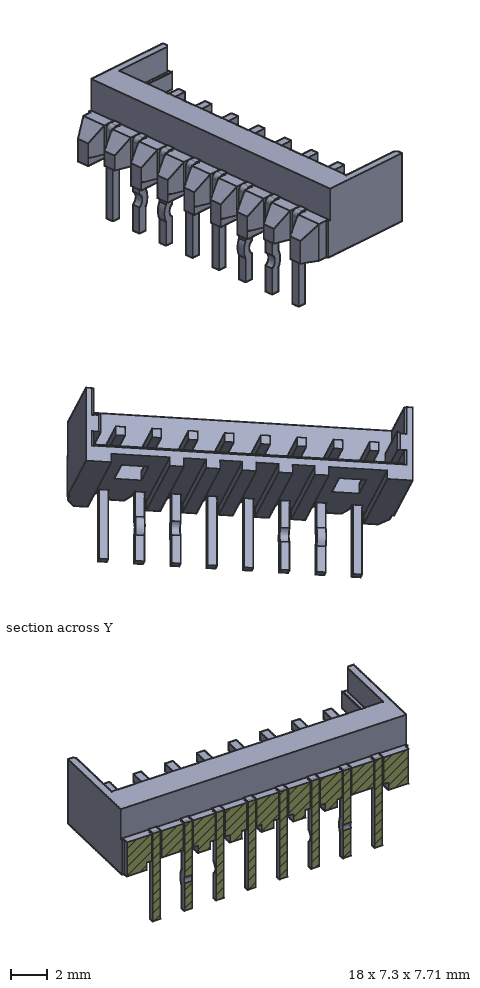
import cadquery as cq
import math


pin_count = 8
pitch = 2.0
pin_size = 0.5
pin_tip_y = -0.61
pin_top_z = 2.3
pin_front_y = -6.26
pin_bottom_z = -3.5
pin_bend_radius = 0.3

kink_directions = {1: 1, 2: -1, 5: -1, 6: 1}
kink_center_z = -1.48
kink_outer_length = 1.06
kink_inner_length = 0.81
kink_bulge = 0.13
kink_dent = 0.22

length = 18
height = 4.21
bar_front_y = -5.63
shelf_front_y = -5.8
shelf_z = 2.27
underside_z = 0.49

cavity_depth = 3.9
wall_thickness = 0.45
floor_z = 1.0
mouth_chamfer = 0.13
window_back_y = -1.7

rail_ledge = 0.22
rail_lip = 0.16
rail_ledge_z = 2.66
rail_lip_z = 2.83
rail_bottom_z = 1.73

tooth_front_y = -7.3
tooth_taper_y = -6.37
tooth_slope_end_z = 1.4
tooth_tip_width = 0.77
tooth_gap = 0.6
tooth_end_inset = 0.13

tooth_count = pin_count + 1
tooth_half_root = (pitch - tooth_gap) / 2
tooth_half_tip = tooth_tip_width / 2
end_tooth_half_root = length / 2 - tooth_end_inset - pitch * (tooth_count - 1) / 2
windowed_teeth = (1, tooth_count - 2)
window_width = pitch - pin_size
half_length = length / 2
cavity_half_width = half_length - wall_thickness


def box(x0, x1, y0, y1, z0, z1):
    """Axis-aligned box between two opposite corners."""
    return cq.Workplane("XY").box(x1 - x0, y1 - y0, z1 - z0, centered=False).translate((x0, y0, z0))


def pin_x(number):
    return (number - (pin_count - 1) / 2) * pitch


def tooth_x(number):
    return (number - (tooth_count - 1) / 2) * pitch


def make_shell():
    """Front bar, floor and side walls, with a shelf under the bar."""
    side_profile = [
        (0, 0),
        (0, height),
        (bar_front_y, height),
        (bar_front_y, shelf_z),
        (shelf_front_y, shelf_z),
        (shelf_front_y, 0),
    ]
    shell = cq.Workplane("YZ").polyline(side_profile).close().extrude(half_length, both=True)
    cavity = box(-cavity_half_width, cavity_half_width, -cavity_depth, 0, floor_z, height)
    return shell.cut(cavity)


def make_mouth_chamfers():
    """Wedges that bevel the floor and the side walls at the open mouth."""
    floor_wedge = (
        cq.Workplane("YZ")
        .polyline([(-mouth_chamfer, floor_z), (0, floor_z), (0, floor_z - mouth_chamfer)])
        .close()
        .extrude(cavity_half_width, both=True)
    )
    wall_wedge = (
        cq.Workplane("XY", origin=(0, 0, floor_z - mouth_chamfer))
        .polyline([
            (cavity_half_width, -mouth_chamfer),
            (cavity_half_width, 0),
            (cavity_half_width + mouth_chamfer, 0),
        ])
        .close()
        .extrude(height - floor_z + mouth_chamfer)
    )
    return floor_wedge.union(wall_wedge).union(wall_wedge.mirror("YZ"))


def make_rail():
    """Guide rail on the +X wall: a flat ledge with a raised sloping lip, bevelled at the mouth."""
    ledge_x = cavity_half_width - rail_ledge
    lip_x = ledge_x - rail_lip
    profile = [
        (half_length, rail_bottom_z),
        (half_length, rail_ledge_z),
        (ledge_x, rail_ledge_z),
        (lip_x, rail_lip_z),
        (lip_x, rail_bottom_z),
    ]
    rail = cq.Workplane("XZ").polyline(profile).close().extrude(cavity_depth)
    mouth_bevel = (
        cq.Workplane("XY")
        .polyline([(lip_x, -mouth_chamfer), (lip_x, 0), (lip_x + mouth_chamfer, 0)])
        .close()
        .extrude(height)
    )
    return rail.cut(mouth_bevel)


def make_tooth(number):
    """Tapered tooth in front of the shelf; its top slopes down to the blunt tip."""
    x = tooth_x(number)
    left_half = end_tooth_half_root if number == 0 else tooth_half_root
    right_half = end_tooth_half_root if number == tooth_count - 1 else tooth_half_root
    plan = [
        (x - left_half, shelf_front_y),
        (x - left_half, tooth_taper_y),
        (x - tooth_half_tip, tooth_front_y),
        (x + tooth_half_tip, tooth_front_y),
        (x + right_half, tooth_taper_y),
        (x + right_half, shelf_front_y),
    ]
    slope = [
        (tooth_taper_y, shelf_z),
        (tooth_front_y, shelf_z),
        (tooth_front_y, tooth_slope_end_z),
    ]
    tooth = cq.Workplane("XY").polyline(plan).close().extrude(shelf_z)
    return tooth.cut(cq.Workplane("YZ").polyline(slope).close().extrude(half_length, both=True))


def make_underside_channels():
    """Channels along Y under the floor; runners remain below most teeth."""
    runner_numbers = [n for n in range(tooth_count) if n not in windowed_teeth]
    channels = cq.Workplane("XY")
    for left, right in zip(runner_numbers, runner_numbers[1:]):
        x0 = tooth_x(left) + tooth_half_tip
        x1 = tooth_x(right) - tooth_half_tip
        channels = channels.union(box(x0, x1, tooth_front_y, 0, 0, underside_z))
    return channels


def make_windows():
    """Openings through the floor behind the two teeth that have no runner."""
    windows = cq.Workplane("XY")
    for number in windowed_teeth:
        x = tooth_x(number)
        windows = windows.union(
            box(x - window_width / 2, x + window_width / 2, -cavity_depth, window_back_y, 0, floor_z)
        )
    return windows


def make_pin(number):
    """Square right-angle pin; its tail may be kinked forward or backward."""
    front = pin_front_y
    rear = pin_front_y + pin_size
    direction = kink_directions.get(number, 0)
    bulge = (kink_outer_length / 2, direction * kink_bulge)
    dent = (kink_inner_length / 2, direction * kink_dent)
    front_half, front_shift = bulge if direction < 0 else dent
    rear_half, rear_shift = dent if direction < 0 else bulge

    bend_center = (front + pin_bend_radius, pin_top_z - pin_bend_radius)
    bend_reach = pin_bend_radius * math.sqrt(0.5)
    bend_middle = (bend_center[0] - bend_reach, bend_center[1] + bend_reach)

    outline = (
        cq.Workplane("YZ", origin=(pin_x(number), 0, 0))
        .moveTo(pin_tip_y, pin_top_z - pin_size)
        .lineTo(pin_tip_y, pin_top_z)
        .lineTo(bend_center[0], pin_top_z)
        .threePointArc(bend_middle, (front, bend_center[1]))
    )
    if direction:
        outline = outline.lineTo(front, kink_center_z + front_half).threePointArc(
            (front + front_shift, kink_center_z), (front, kink_center_z - front_half)
        )
    outline = outline.lineTo(front, pin_bottom_z).lineTo(rear, pin_bottom_z)
    if direction:
        outline = outline.lineTo(rear, kink_center_z - rear_half).threePointArc(
            (rear + rear_shift, kink_center_z), (rear, kink_center_z + rear_half)
        )
    outline = outline.lineTo(rear, pin_top_z - pin_size)
    return outline.close().extrude(pin_size / 2, both=True)


housing = make_shell().cut(make_mouth_chamfers())
rail = make_rail()
housing = housing.union(rail).union(rail.mirror("YZ"))
for tooth_number in range(tooth_count):
    housing = housing.union(make_tooth(tooth_number))
housing = housing.cut(make_underside_channels()).cut(make_windows())

result = housing
for pin_number in range(pin_count):
    result = result.union(make_pin(pin_number))